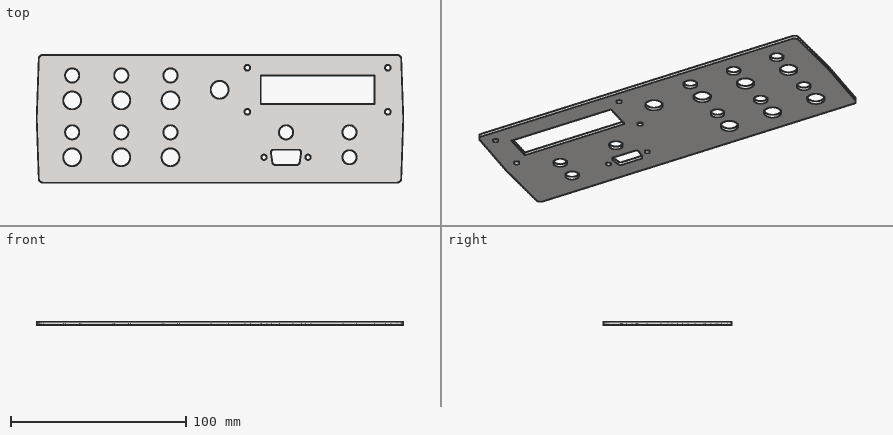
import cadquery as cq

length = 209.5
width = 73.0
thickness = 2.0
end_peak = 1.3
corner_radius = 2.5

small_hole = 8.0
large_hole = 10.0
column_pitch = 28.0
first_column_x = -84.4
column_count = 3
upper_bank_y = 24.7
bank_pitch = 32.5
row_pitch = 14.2
single_hole_center = (-0.2, 16.5)

window_length = 64.7
window_width = 16.1
window_center = (55.7, 16.5)
display_screw_hole = 3.1
display_screw_spacing = (80.2, 25.1)

connector_x = 37.7
connector_top_width = 17.5
connector_bottom_width = 15.0
connector_height = 8.5
connector_corner_radius = 1.5
connector_screw_hole = 3.0
connector_screw_spacing = 25.1

right_hole_x = 74.0

lower_small_y = upper_bank_y - bank_pitch
lower_large_y = lower_small_y - row_pitch


def make_plate():
    half_length = length / 2
    half_width = width / 2
    corner_x = half_length - end_peak
    outline = [
        (-corner_x, -half_width),
        (corner_x, -half_width),
        (half_length, 0),
        (corner_x, half_width),
        (-corner_x, half_width),
        (-half_length, 0),
    ]
    plate = cq.Workplane("XY").polyline(outline).close().extrude(thickness)
    corners = plate.edges("|Z").edges(">Y or <Y")
    return corners.fillet(corner_radius)


def round_cutters(centers, diameter):
    return cq.Workplane("XY").pushPoints(centers).circle(diameter / 2).extrude(thickness)


def window_cutter():
    return cq.Workplane("XY").center(*window_center).rect(window_length, window_width).extrude(thickness)


def connector_cutter():
    top_half = connector_top_width / 2
    bottom_half = connector_bottom_width / 2
    half_height = connector_height / 2
    outline = [
        (-bottom_half, -half_height),
        (bottom_half, -half_height),
        (top_half, half_height),
        (-top_half, half_height),
    ]
    cutter = cq.Workplane("XY").center(connector_x, lower_large_y)
    cutter = cutter.polyline(outline).close().extrude(thickness)
    return cutter.edges("|Z").fillet(connector_corner_radius)


columns = [first_column_x + i * column_pitch for i in range(column_count)]
small_centers = [(x, y) for x in columns for y in (upper_bank_y, lower_small_y)]
large_centers = [(x, y - row_pitch) for x, y in small_centers]
large_centers.append(single_hole_center)
small_centers += [
    (connector_x, lower_small_y),
    (right_hole_x, lower_small_y),
    (right_hole_x, lower_large_y),
]
display_screws = [
    (window_center[0] + sx * display_screw_spacing[0] / 2, window_center[1] + sy * display_screw_spacing[1] / 2)
    for sx in (-1, 1)
    for sy in (-1, 1)
]
connector_screws = [(connector_x + s * connector_screw_spacing / 2, lower_large_y) for s in (-1, 1)]

result = make_plate()
result = result.cut(round_cutters(small_centers, small_hole))
result = result.cut(round_cutters(large_centers, large_hole))
result = result.cut(round_cutters(display_screws, display_screw_hole))
result = result.cut(round_cutters(connector_screws, connector_screw_hole))
result = result.cut(window_cutter())
result = result.cut(connector_cutter())